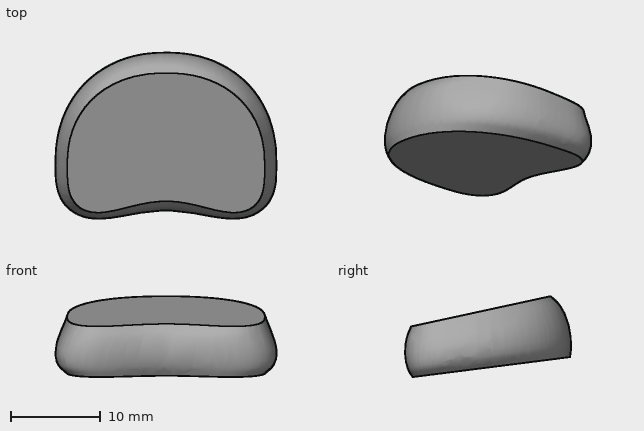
import cadquery as cq
import math


TOP_HEIGHT = 3.02
TOP_SLOPE = 0.217
BOTTOM_HEIGHT = -3.42
BOTTOM_SLOPE = 0.127

BOTTOM_LEVEL = 0.0
LOWER_BULGE_LEVEL = 0.27
UPPER_BULGE_LEVEL = 0.58
TOP_LEVEL = 1.0

WIDEST_Y = -3.2
BACK_SQUARENESS = 2.2
NOTCH_DEPTH = 2.3
POINTS_PER_OUTLINE = 48

OUTLINES = [
    (BOTTOM_LEVEL, 11.1, 9.1, -7.3, 3.2),
    (LOWER_BULGE_LEVEL, 12.28, 9.18, -8.17, 3.0),
    (UPPER_BULGE_LEVEL, 12.0, 8.75, -8.35, 3.0),
    (TOP_LEVEL, 10.97, 6.92, -7.32, 3.6),
]


def signed_power(value, exponent):
    """Raise the size of a value to a power and keep its sign."""
    return math.copysign(abs(value) ** exponent, value)


def outline_point(angle, level, half_width, back_y, notch_y, front_squareness):
    """Point of a bean outline at an angle measured from the +X side."""
    at_back = math.sin(angle) >= 0
    exponent = BACK_SQUARENESS if at_back else front_squareness
    across = signed_power(math.cos(angle), 2 / exponent)
    along = signed_power(math.sin(angle), 2 / exponent)
    if at_back:
        y = WIDEST_Y + (back_y - WIDEST_Y) * along
    else:
        front_reach = WIDEST_Y - notch_y + NOTCH_DEPTH
        notch = NOTCH_DEPTH * math.cos(across * math.pi / 2) ** 2
        y = WIDEST_Y + front_reach * along + notch
    height = BOTTOM_HEIGHT + level * (TOP_HEIGHT - BOTTOM_HEIGHT)
    slope = BOTTOM_SLOPE + level * (TOP_SLOPE - BOTTOM_SLOPE)
    return cq.Vector(half_width * across, y, height + slope * y)


def outline_wire(level, half_width, back_y, notch_y, front_squareness):
    """Closed smooth bean outline in its tilted plane."""
    step = 2 * math.pi / POINTS_PER_OUTLINE
    points = [
        outline_point(i * step, level, half_width, back_y, notch_y, front_squareness)
        for i in range(POINTS_PER_OUTLINE)
    ]
    return cq.Wire.assembleEdges([cq.Edge.makeSpline(points, periodic=True)])


wires = [outline_wire(*outline) for outline in OUTLINES]
result = cq.Workplane("XY").newObject([cq.Solid.makeLoft(wires)])